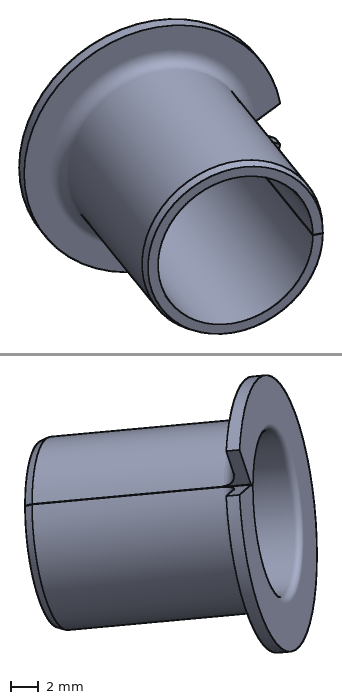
import cadquery as cq
import math

length = 17.0
bore_diameter = 12.0
wall = 1.0
flange_diameter = 20.0
mouth_radius = 0.5
neck_radius = wall
chamfer_length = 0.6
chamfer_angle = 20.0
slit_width = 0.05
notch_angle = 60.0
notch_apex_radius = 6.9

bore_radius = bore_diameter / 2
body_radius = bore_radius + wall
flange_radius = flange_diameter / 2
chamfer_drop = chamfer_length * math.tan(math.radians(chamfer_angle))


def make_bushing():
    """Revolve the wall section, drawn as (X, radius), about the X axis."""
    diagonal = math.sqrt(0.5)
    mouth_middle = (
        mouth_radius * (1 - diagonal),
        bore_radius + mouth_radius * (1 - diagonal),
    )
    neck_middle = (
        wall + neck_radius * (1 - diagonal),
        body_radius + neck_radius * (1 - diagonal),
    )
    section = (
        cq.Workplane("XY")
        .moveTo(mouth_radius, bore_radius)
        .threePointArc(mouth_middle, (0, bore_radius + mouth_radius))
        .lineTo(0, flange_radius)
        .lineTo(wall, flange_radius)
        .lineTo(wall, body_radius + neck_radius)
        .threePointArc(neck_middle, (wall + neck_radius, body_radius))
        .lineTo(length - chamfer_length, body_radius)
        .lineTo(length, body_radius - chamfer_drop)
        .lineTo(length, bore_radius)
        .close()
    )
    return section.revolve(360, (0, 0, 0), (1, 0, 0))


def make_slit():
    """Narrow slit through the +Y wall over the whole length."""
    return cq.Workplane("XY").box(length, flange_radius, slit_width, centered=(False, False, True))


def make_notch():
    """V notch through the flange and its fillet, widening outward along +Y."""
    notch_depth = flange_radius - notch_apex_radius
    half_mouth = notch_depth * math.tan(math.radians(notch_angle / 2))
    notch_length = wall + neck_radius
    return (
        cq.Workplane("YZ")
        .moveTo(notch_apex_radius, 0)
        .lineTo(flange_radius, -half_mouth)
        .lineTo(flange_radius, half_mouth)
        .close()
        .extrude(notch_length)
    )


result = make_bushing().cut(make_slit()).cut(make_notch())